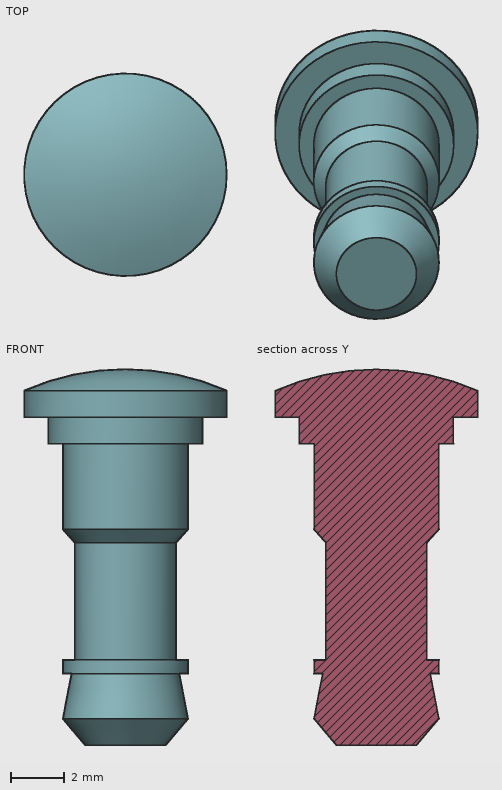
import cadquery as cq
import math

head_diameter = 7.6
shoulder_diameter = 5.8
body_diameter = 4.7
neck_diameter = 3.8
tip_root_diameter = 4.05
tip_end_diameter = 3.0

total_height = 14.1
tip_lead_in_height = 1.0
tip_barb_height = 1.69
collar_height = 0.51
neck_height = 4.4
body_chamfer_height = 0.5
body_height = 3.2
shoulder_height = 1.0
head_rim_height = 1.0

barb_z = tip_lead_in_height
collar_bottom_z = barb_z + tip_barb_height
collar_top_z = collar_bottom_z + collar_height
neck_top_z = collar_top_z + neck_height
body_bottom_z = neck_top_z + body_chamfer_height
body_top_z = body_bottom_z + body_height
head_bottom_z = body_top_z + shoulder_height
head_rim_z = head_bottom_z + head_rim_height

head_radius = head_diameter / 2
shoulder_radius = shoulder_diameter / 2
body_radius = body_diameter / 2
neck_radius = neck_diameter / 2

dome_height = total_height - head_rim_z
dome_radius = (head_radius**2 + dome_height**2) / (2 * dome_height)
dome_center_z = total_height - dome_radius
dome_mid_radius = head_radius / 2
dome_mid_z = dome_center_z + math.sqrt(dome_radius**2 - dome_mid_radius**2)

profile = (
    cq.Workplane("XZ")
    .lineTo(tip_end_diameter / 2, 0)
    .lineTo(body_radius, barb_z)
    .lineTo(tip_root_diameter / 2, collar_bottom_z)
    .lineTo(body_radius, collar_bottom_z)
    .lineTo(body_radius, collar_top_z)
    .lineTo(neck_radius, collar_top_z)
    .lineTo(neck_radius, neck_top_z)
    .lineTo(body_radius, body_bottom_z)
    .lineTo(body_radius, body_top_z)
    .lineTo(shoulder_radius, body_top_z)
    .lineTo(shoulder_radius, head_bottom_z)
    .lineTo(head_radius, head_bottom_z)
    .lineTo(head_radius, head_rim_z)
    .threePointArc((dome_mid_radius, dome_mid_z), (0, total_height))
    .close()
)

result = profile.revolve(360, (0, 0, 0), (0, 1, 0))